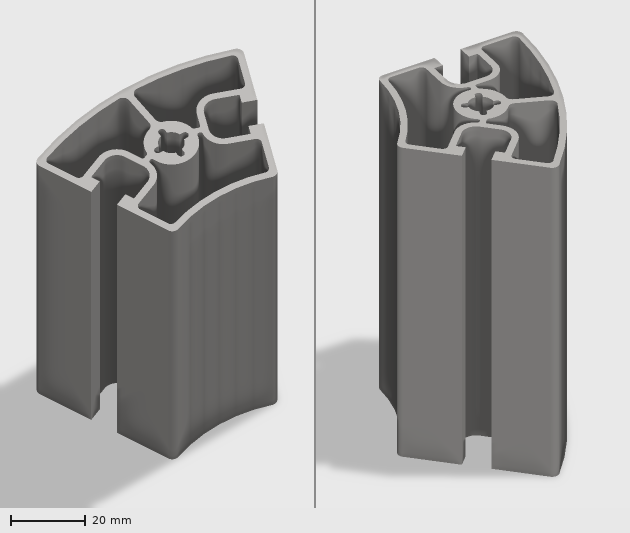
import cadquery as cq
import math


length = 100.0
outer_radius = 90.0
depth = 45.0
sector_angle = 45.0
wall = 2.0
outer_corner_radius = 2.0
inner_radius = outer_radius - depth
mid_radius = outer_radius - depth / 2

slot_opening = 8.2
lip_height = 4.3
channel_width = 13.7
channel_depth = 15.0
channel_corner_radius = 4.0

hub_radius = 7.5
bore_radius = 3.6
key_width = 2.0
key_reach = 5.5
web_thickness = 2.0
neck_width = 1.7
neck_position = 64.9

chamber_fillet = 1.5
web_wall_fillet = 2.0
web_hub_fillet = 2.0
neck_fillet = 0.6
edge_tolerance = 0.01

half_angle = sector_angle / 2
sector_angle_rad = math.radians(sector_angle)
half_angle_rad = sector_angle_rad / 2
hub_x = -mid_radius * math.cos(half_angle_rad)
hub_y = mid_radius * math.sin(half_angle_rad)


def about_z(body, angle):
    return body.rotate((0, 0, 0), (0, 0, 1), angle)


def at_other_end(body):
    """Mirror a body about the bisecting plane of the sector."""
    return about_z(body.mirror("XZ"), -sector_angle)


def block(x_min, x_max, y_min, y_max):
    """Full-length rectangular bar between the given limits."""
    bar = cq.Workplane("XY").box(x_max - x_min, y_max - y_min, length, centered=False)
    return bar.translate((x_min, y_min, 0))


def ring_sector(r_in, r_out, inset):
    """45 degree ring sector whose end faces are moved inwards by inset."""

    def end_point(radius):
        return -math.sqrt(radius**2 - inset**2), inset

    def middle_point(radius):
        return -radius * math.cos(half_angle_rad), radius * math.sin(half_angle_rad)

    def far_point(radius):
        x, y = end_point(radius)
        return (
            x * math.cos(sector_angle_rad) - y * math.sin(sector_angle_rad),
            -x * math.sin(sector_angle_rad) - y * math.cos(sector_angle_rad),
        )

    return (
        cq.Workplane("XY")
        .moveTo(*end_point(r_out))
        .threePointArc(middle_point(r_out), far_point(r_out))
        .lineTo(*far_point(r_in))
        .threePointArc(middle_point(r_in), end_point(r_in))
        .close()
        .extrude(length)
    )


def channel(offset):
    """T-slot channel, enlarged by offset on its sides and its bottom."""
    half_width = channel_width / 2 + offset
    bar = block(-mid_radius - half_width, -mid_radius + half_width, 0, channel_depth + offset)
    return bar.edges("|Z and >Y").fillet(channel_corner_radius + offset)


def hub_cylinder(radius):
    return cq.Workplane("XY").center(hub_x, hub_y).circle(radius).extrude(length)


def hub_supports():
    """Web from the hub to the outer wall, and a neck from the hub to each channel."""
    web = about_z(block(-outer_radius, -mid_radius, -web_thickness / 2, web_thickness / 2), -half_angle)
    neck_x = -neck_position
    neck = block(neck_x - neck_width / 2, neck_x + neck_width / 2, channel_depth, hub_y)
    return web.union(neck).union(at_other_end(neck))


def fillet_where(body, radius, is_corner):
    """Round the lengthwise edges whose X and Y satisfy is_corner."""
    edges = [e for e in body.edges("|Z").vals() if is_corner(e.Center().x, e.Center().y)]
    return body.newObject(edges).fillet(radius)


def on_circle(x, y, radius, centre_x=0.0, centre_y=0.0):
    return abs(math.hypot(x - centre_x, y - centre_y) - radius) < edge_tolerance


def face_distance(x, y):
    """Distance to the nearer end face of the sector."""
    far = -x * math.sin(sector_angle_rad) - y * math.cos(sector_angle_rad)
    return min(y, far)


def x_along_face(x, y):
    """Distance from the ring centre measured along the nearer end face."""
    return math.sqrt(x**2 + y**2 - face_distance(x, y) ** 2)


def chambers():
    """The three hollow chambers around the hub."""
    body = ring_sector(inner_radius + wall, outer_radius - wall, wall)
    outer_channel = channel(wall)
    body = body.cut(outer_channel).cut(at_other_end(outer_channel))
    body = body.cut(hub_cylinder(hub_radius)).cut(hub_supports())

    def at_end_wall(x, y):
        return abs(face_distance(x, y) - wall) < edge_tolerance

    def at_web_and_wall(x, y):
        return on_circle(x, y, outer_radius - wall) and not at_end_wall(x, y)

    def at_web_and_hub(x, y):
        on_web_side = math.hypot(x, y) > mid_radius + hub_radius / 2
        return on_web_side and on_circle(x, y, hub_radius, hub_x, hub_y)

    def at_neck(x, y):
        beside_channel = channel_depth < face_distance(x, y) < hub_y
        off_centre = abs(x_along_face(x, y) - neck_position)
        return beside_channel and abs(off_centre - neck_width / 2) < edge_tolerance

    body = fillet_where(body, chamber_fillet, at_end_wall)
    body = fillet_where(body, web_wall_fillet, at_web_and_wall)
    body = fillet_where(body, web_hub_fillet, at_web_and_hub)
    return fillet_where(body, neck_fillet, at_neck)


def t_slot():
    """T-shaped groove: a wide channel reached through a narrower opening between two lips."""
    opening = block(-mid_radius - slot_opening / 2, -mid_radius + slot_opening / 2, 0, channel_depth / 2)
    lips = block(-outer_radius, 0, 0, lip_height)
    return channel(0).cut(lips).union(opening)


def hub_bore():
    """Core hole with four round-ended key grooves, aligned with the web."""
    bore = hub_cylinder(bore_radius)
    groove = cq.Workplane("XY").slot2D(2 * key_reach, key_width).extrude(length)
    for angle in (-half_angle, 90 - half_angle):
        bore = bore.union(about_z(groove, angle).translate((hub_x, hub_y, 0)))
    return bore


result = ring_sector(inner_radius, outer_radius, 0).edges("|Z").fillet(outer_corner_radius)
slot = t_slot()
for cavity in (chambers(), slot, at_other_end(slot), hub_bore()):
    result = result.cut(cavity)